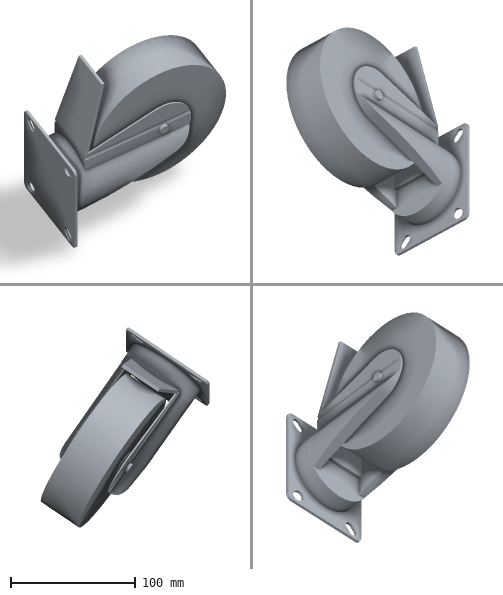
import cadquery as cq
import math

plate_width = 80.0
plate_height = 95.0
plate_thickness = 2.4
plate_corner_radius = 5.0
slot_spacing_x = 57.7
slot_spacing_z = 77.9
slot_width = 8.7
slot_length = 12.7
slot_angle = 45

neck_radius = 32.73
neck_z = plate_height / 2
neck_end_y = 19.3

axle_y = 92.6
axle_z = 79.6
wheel_radius = 62.4
wheel_width = 36.8
hub_diameter = 22.2
hub_width = 39.2
axle_diameter = 8.2
axle_length = 52.5

cheek_inner_x = 22.0
cheek_upper_x = 23.3
cheek_lower_x = 23.8
groove_floor_x = 22.92
groove_top_z = 87.5
groove_bottom_z = 83.2
flank_radius = 32.57
fork_end_radius = 26.4
fork_root_top_z = 88.8
fork_root_bottom_z = 30.0

lever_thickness = 2.9
lever_tilt = math.radians(14.7)
lever_base_z = 88.5
lever_base_width = 2 * cheek_upper_x
lever_top_width = 35.5
overall_height = 160.8


def xz_plane(y):
    """Workplane with local axes +X and +Z that extrudes toward +Y for negative distances."""
    return cq.Workplane("XZ", origin=(0, y, 0))


def x_cylinder(diameter, length):
    """Cylinder on the axle line, centred on x = 0."""
    return (
        cq.Workplane("YZ", origin=(-length / 2, axle_y, axle_z))
        .circle(diameter / 2)
        .extrude(length)
    )


def make_plate():
    plate = (
        xz_plane(0)
        .center(0, neck_z)
        .rect(plate_width, plate_height)
        .extrude(-plate_thickness)
        .edges("|Y")
        .fillet(plate_corner_radius)
    )
    for side_x in (-1, 1):
        for side_z in (-1, 1):
            slot = (
                xz_plane(0)
                .center(side_x * slot_spacing_x / 2, neck_z + side_z * slot_spacing_z / 2)
                .slot2D(slot_length, slot_width, side_x * side_z * slot_angle)
                .extrude(-plate_thickness)
            )
            plate = plate.cut(slot)
    return plate


def make_neck():
    return (
        xz_plane(plate_thickness)
        .center(0, neck_z)
        .circle(neck_radius)
        .extrude(plate_thickness - neck_end_y)
    )


def tangent_point(y, z, side):
    """Point where the line from (y, z) touches the fork end circle; side is 1 for the top, -1 below."""
    back_angle = math.atan2(z - axle_z, y - axle_y)
    distance = math.hypot(y - axle_y, z - axle_z)
    angle = back_angle - side * math.acos(fork_end_radius / distance)
    return (axle_y + fork_end_radius * math.cos(angle), axle_z + fork_end_radius * math.sin(angle))


def make_fork_outline():
    """Side outline of both cheeks, as a prism across the whole fork width."""
    return (
        cq.Workplane("YZ")
        .moveTo(neck_end_y, fork_root_bottom_z)
        .lineTo(neck_end_y, fork_root_top_z)
        .lineTo(*tangent_point(neck_end_y, fork_root_top_z, 1))
        .threePointArc(
            (axle_y + fork_end_radius, axle_z),
            tangent_point(neck_end_y, fork_root_bottom_z, -1),
        )
        .close()
        .extrude(neck_radius, both=True)
    )


def make_right_cheek_section():
    """Cheek section on the +X side: thin plate, shallow groove, flat band, then a round flank."""
    cheek_top_z = axle_z + fork_end_radius
    flat_bottom_z = neck_z + math.sqrt(flank_radius**2 - cheek_lower_x**2)
    flank_end_x = math.sqrt(flank_radius**2 - (neck_z - fork_root_bottom_z) ** 2)
    return (
        xz_plane(neck_end_y)
        .moveTo(cheek_inner_x, cheek_top_z)
        .lineTo(cheek_upper_x, cheek_top_z)
        .lineTo(cheek_upper_x, groove_top_z)
        .threePointArc(
            (groove_floor_x, (groove_top_z + groove_bottom_z) / 2),
            (cheek_lower_x, groove_bottom_z),
        )
        .lineTo(cheek_lower_x, flat_bottom_z)
        .threePointArc((flank_radius, neck_z), (flank_end_x, fork_root_bottom_z))
        .lineTo(cheek_inner_x, fork_root_bottom_z)
        .close()
        .extrude(neck_end_y - axle_y - fork_end_radius)
    )


def make_cheeks():
    right_cheek = make_right_cheek_section().intersect(make_fork_outline())
    return right_cheek.union(right_cheek.mirror("YZ"))


def make_front_wall():
    """Wall that joins the two cheeks across the end of the neck, below the lever."""
    return cq.Workplane("XY").box(
        2 * cheek_inner_x, lever_thickness, lever_base_z - neck_z, centered=(True, False, False)
    ).translate((0, neck_end_y, neck_z))


def make_lever():
    run = (overall_height - lever_base_z) * math.tan(lever_tilt)
    offset_y = lever_thickness * math.cos(lever_tilt)
    offset_z = lever_thickness * math.sin(lever_tilt)
    side_profile = (
        cq.Workplane("YZ")
        .moveTo(neck_end_y, lever_base_z)
        .lineTo(neck_end_y + run, overall_height)
        .lineTo(neck_end_y + run + offset_y, overall_height - offset_z)
        .lineTo(neck_end_y + lever_thickness / math.cos(lever_tilt), lever_base_z)
        .close()
        .extrude(lever_base_width / 2, both=True)
    )
    front_profile = (
        xz_plane(0)
        .moveTo(-lever_base_width / 2, lever_base_z)
        .lineTo(-lever_top_width / 2, overall_height)
        .lineTo(lever_top_width / 2, overall_height)
        .lineTo(lever_base_width / 2, lever_base_z)
        .close()
        .extrude(-axle_y)
    )
    return side_profile.intersect(front_profile)


def make_bracket():
    """Plate, neck, fork and lever as one body, with the axle hole through both cheeks."""
    return (
        make_plate()
        .union(make_neck())
        .union(make_cheeks())
        .union(make_front_wall())
        .union(make_lever())
        .cut(x_cylinder(axle_diameter, axle_length))
    )


def make_wheel():
    """Wheel with its hub faces and axle stubs."""
    return (
        x_cylinder(2 * wheel_radius, wheel_width)
        .union(x_cylinder(hub_diameter, hub_width))
        .union(x_cylinder(axle_diameter, axle_length))
    )


bracket = make_bracket()
wheel = make_wheel()

result = cq.Compound.makeCompound([bracket.solids().val(), wheel.solids().val()])